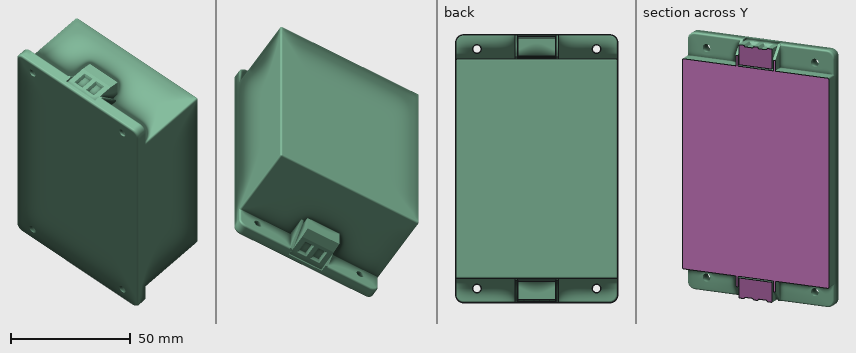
import cadquery as cq

WIDTH = 67.8
DEPTH = 38.1
HEIGHT = 112.0

COVER_THICKNESS = 2.0
FLANGE_BACK = 5.2
CORNER_RADIUS = 3.4
COVER_EDGE = 0.9
HOUSING_EDGE = 0.8
HOLE_DIAMETER = 3.5
HOLE_SPACING_X = 50.0
HOLE_SPACING_Z = 100.0

BOX_HEIGHT = 91.8
BOX_TOP = BOX_HEIGHT / 2
FLANGE_TOP = HEIGHT / 2

TERMINAL_WIDTH = 15.5
TERMINAL_BACK = 16.7
TAPER_START = 12.3
TAPER_RISE = 0.8
TERMINAL_DROP = 0.7
TERMINAL_HEIGHT = 9.0
TERMINAL_TOP = FLANGE_TOP - TERMINAL_DROP
TERMINAL_BOTTOM = TERMINAL_TOP - TERMINAL_HEIGHT

POCKET_SPACING = 6.4
POCKET_WIDTH = 4.5
POCKET_LENGTH = 6.4
POCKET_CENTRE_Y = 7.6
POCKET_INSET = 0.9
POCKET_DEPTH = 1.1
POCKET_FLOOR_WIDTH = POCKET_WIDTH - 2 * POCKET_INSET
POCKET_FLOOR_LENGTH = POCKET_LENGTH - 2 * POCKET_INSET

NOTCH_GAP = 0.3
NOTCH_WIDTH = TERMINAL_WIDTH + 2 * NOTCH_GAP
GUSSET_THICKNESS = 1.1
GUSSET_BACK = 14.0
GUSSET_END_HEIGHT = 0.8
GUSSETS_WIDTH = NOTCH_WIDTH + 2 * GUSSET_THICKNESS


def block(width, height, y_start, y_end):
    """Box centred in X and Z that spans y_start to y_end."""
    length = y_end - y_start
    return cq.Workplane("XY").box(width, length, height).translate((0, y_start + length / 2, 0))


def rounded_plate(y_start, y_end):
    """Full-size plate with its four corners rounded."""
    return block(WIDTH, HEIGHT, y_start, y_end).edges("|Y").fillet(CORNER_RADIUS)


def side_prism(points, width):
    """Prism along X, centred on X = 0, from an outline of (y, z) points."""
    return cq.Workplane("YZ").polyline(points).close().extrude(width / 2, both=True)


def both_ends(upper):
    """The upper shape and its mirror image at the lower end."""
    return [upper, upper.mirror("XY")]


def drill_screw_holes(body):
    holes = (
        cq.Workplane("XZ")
        .rarray(HOLE_SPACING_X, HOLE_SPACING_Z, 2, 2)
        .circle(HOLE_DIAMETER / 2)
        .extrude(-DEPTH)
    )
    return body.cut(holes)


def make_gussets():
    """Sloped block over the flange and box; the notch later splits it into two gussets."""
    outline = [
        (COVER_THICKNESS, BOX_TOP - HOUSING_EDGE),
        (GUSSET_BACK, BOX_TOP - HOUSING_EDGE),
        (GUSSET_BACK, BOX_TOP + GUSSET_END_HEIGHT),
        (FLANGE_BACK, FLANGE_TOP),
        (COVER_THICKNESS, FLANGE_TOP),
    ]
    return side_prism(outline, GUSSETS_WIDTH)


def make_notch():
    """Clearance for a terminal block, open at the top and down to the top of the box."""
    outline = [
        (COVER_THICKNESS, BOX_TOP),
        (GUSSET_BACK, BOX_TOP),
        (GUSSET_BACK, FLANGE_TOP),
        (COVER_THICKNESS, FLANGE_TOP),
    ]
    return side_prism(outline, NOTCH_WIDTH)


def make_housing():
    flange = rounded_plate(COVER_THICKNESS, FLANGE_BACK).faces(">Y").edges().fillet(HOUSING_EDGE)
    rear_box = block(WIDTH, BOX_HEIGHT, COVER_THICKNESS, DEPTH)
    rear_box = rear_box.edges("|Y or >Y").fillet(HOUSING_EDGE)
    housing = flange.union(rear_box)
    for gussets in both_ends(make_gussets()):
        housing = housing.union(gussets)
    for notch in both_ends(make_notch()):
        housing = housing.cut(notch)
    return drill_screw_holes(housing)


def make_wire_pocket(x_centre):
    """Pocket that narrows from the top of the terminal block to its floor."""
    return (
        cq.Workplane("XY", origin=(x_centre, POCKET_CENTRE_Y, TERMINAL_TOP))
        .rect(POCKET_WIDTH, POCKET_LENGTH)
        .workplane(offset=-POCKET_DEPTH)
        .rect(POCKET_FLOOR_WIDTH, POCKET_FLOOR_LENGTH)
        .loft()
    )


def make_terminal():
    """Terminal block with a tapered rear end and two wire pockets."""
    outline = [
        (COVER_THICKNESS, TERMINAL_BOTTOM),
        (TAPER_START, TERMINAL_BOTTOM),
        (TERMINAL_BACK, TERMINAL_BOTTOM + TAPER_RISE),
        (TERMINAL_BACK, TERMINAL_TOP - TAPER_RISE),
        (TAPER_START, TERMINAL_TOP),
        (COVER_THICKNESS, TERMINAL_TOP),
    ]
    terminal = side_prism(outline, TERMINAL_WIDTH)
    for side in (-1, 1):
        terminal = terminal.cut(make_wire_pocket(side * POCKET_SPACING / 2))
    return terminal


def make_cover():
    """Front plate that carries a terminal block at each end."""
    cover = rounded_plate(0, COVER_THICKNESS).faces("<Y").edges().fillet(COVER_EDGE)
    for terminal in both_ends(make_terminal()):
        cover = cover.union(terminal)
    return drill_screw_holes(cover)


housing = make_housing()
cover = make_cover()

result = cq.Compound.makeCompound([housing.solids().val(), cover.solids().val()])